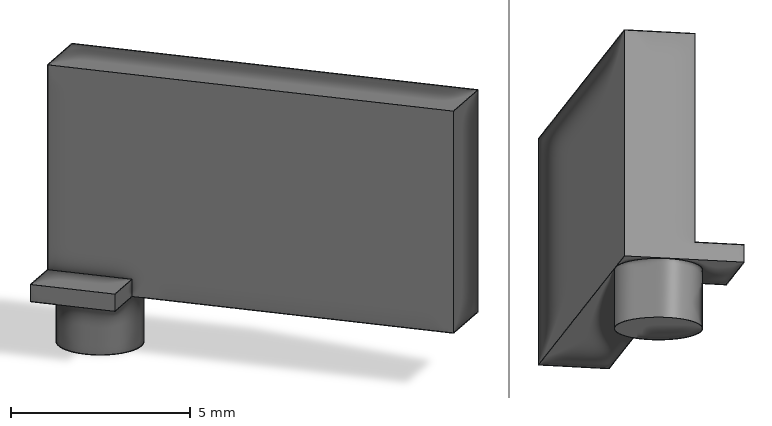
import cadquery as cq

plate_length = 12.0
plate_thickness = 2.0
plate_height = 6.5

total_depth = 3.4
tab_width = 2.5
tab_thickness = 0.5
tab_reach = total_depth - plate_thickness

total_height = 8.2
peg_diameter = 2.45
peg_length = total_height - plate_height
peg_x = tab_width - peg_diameter / 2
peg_y = plate_thickness - peg_diameter / 2

plate = cq.Workplane("XY").box(plate_length, plate_thickness, plate_height, centered=False)

tab = (
    cq.Workplane("XY")
    .box(tab_width, total_depth, tab_thickness, centered=False)
    .translate((0, -tab_reach, 0))
)

peg = (
    cq.Workplane("XY")
    .center(peg_x, peg_y)
    .circle(peg_diameter / 2)
    .extrude(-peg_length)
)

result = plate.union(tab).union(peg)